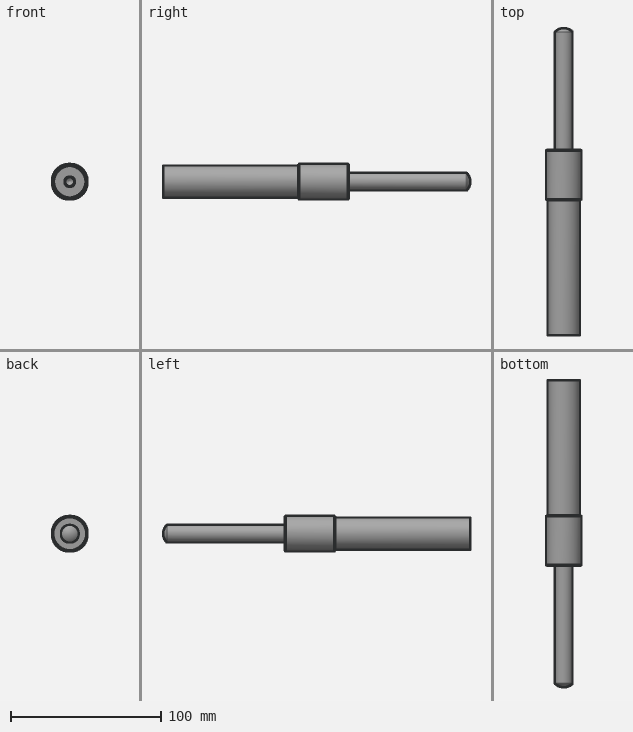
import cadquery as cq
import math

total_length = 204.95

barrel_diameter = 21.7
collar_diameter = 24.0
collar_start = 90.0
collar_end = 124.0
collar_chamfer = 1.0
barrel_chamfer = 0.4
end_hole_diameter = 6.0
hole_depth = 9.0
hole_chamfer = 0.5
drill_point_angle = 118.0

rod_diameter = 12.0
dome_diameter = 16.0
tip_blend_radius = 1.0


def revolve_about_y(profile):
    """Close a profile drawn with X as radius and turn it about the Y axis."""
    return profile.close().revolve(360, (0, 0, 0), (0, 1, 0))


def make_housing():
    """Barrel and collar in one piece, with a drilled hole in the barrel end face."""
    barrel_radius = barrel_diameter / 2
    collar_radius = collar_diameter / 2
    hole_radius = end_hole_diameter / 2
    drill_tip_depth = hole_radius / math.tan(math.radians(drill_point_angle / 2))
    profile = (
        cq.Workplane("XY")
        .moveTo(0, hole_depth + drill_tip_depth)
        .lineTo(hole_radius, hole_depth)
        .lineTo(hole_radius, hole_chamfer)
        .lineTo(hole_radius + hole_chamfer, 0)
        .lineTo(barrel_radius - barrel_chamfer, 0)
        .lineTo(barrel_radius, barrel_chamfer)
        .lineTo(barrel_radius, collar_start)
        .lineTo(collar_radius - collar_chamfer, collar_start)
        .lineTo(collar_radius, collar_start + collar_chamfer)
        .lineTo(collar_radius, collar_end - collar_chamfer)
        .lineTo(collar_radius - collar_chamfer, collar_end)
        .lineTo(0, collar_end)
    )
    return revolve_about_y(profile)


def make_rod():
    """Round rod standing on the collar face, with a spherical tip blended into its side."""
    rod_radius = rod_diameter / 2
    dome_radius = dome_diameter / 2
    dome_center = total_length - dome_radius

    blend_center_x = rod_radius - tip_blend_radius
    blend_center_y = dome_center + math.sqrt(
        (dome_radius - tip_blend_radius) ** 2 - blend_center_x**2
    )
    rim_angle = math.atan2(blend_center_x, blend_center_y - dome_center)
    blend_mid_angle = (rim_angle + math.pi / 2) / 2
    blend_mid = (
        blend_center_x + tip_blend_radius * math.sin(blend_mid_angle),
        blend_center_y + tip_blend_radius * math.cos(blend_mid_angle),
    )
    dome_rim = (
        dome_radius * math.sin(rim_angle),
        dome_center + dome_radius * math.cos(rim_angle),
    )
    dome_mid = (
        dome_radius * math.sin(rim_angle / 2),
        dome_center + dome_radius * math.cos(rim_angle / 2),
    )
    profile = (
        cq.Workplane("XY")
        .moveTo(0, collar_end)
        .lineTo(rod_radius, collar_end)
        .lineTo(rod_radius, blend_center_y)
        .threePointArc(blend_mid, dome_rim)
        .threePointArc(dome_mid, (0, total_length))
    )
    return revolve_about_y(profile)


housing = make_housing()
rod = make_rod()
result = cq.Compound.makeCompound([housing.val(), rod.val()])